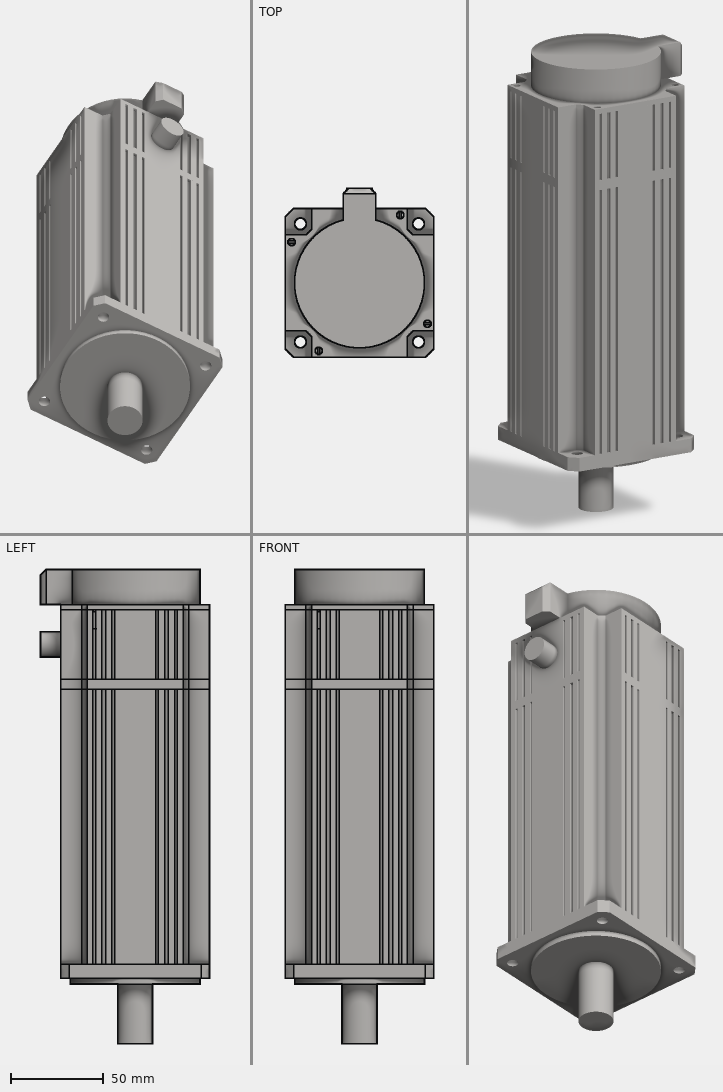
import cadquery as cq
import math

pilot_bottom = 32.3
flange_bottom = 35.3
flange_top = 43.0
stator_top = 191.5
spacer_top = 196.9
housing_top = 234.2
lid_top = 237.0
cover_top = 256.0

section_width = 80.5
notch_depth = 14.3
notch_bevel = 3.0

groove_spans = [(11.0, 12.5), (16.0, 18.0), (21.2, 22.8)]
groove_depth = 1.5

flange_width = section_width
flange_chamfer = 4.5
bolt_circle_diameter = 90.0
bolt_hole_diameter = 6.1
pilot_diameter = 70.1

shaft_diameter = 19.0

cap_diameter = pilot_diameter
outlet_width = 17.7
outlet_reach = 51.2
outlet_chamfer = 3.0

stub_diameter = 13.8
stub_z = (spacer_top + housing_top) / 2

screw_diameter = 3.8
screw_length = 10.2
screw_side_offset = 36.5
screw_cross_offset = 22.0
slot_width = 1.3
slot_depth = 1.0
screw_top = housing_top
screw_bottom = screw_top - screw_length

quarter_turns = [0, 90, 180, 270]


def notched_block(bottom, top):
    """Square block whose four corners are cut by bevelled square notches."""
    half = section_width / 2
    inner = half - notch_depth
    height = top - bottom
    block = cq.Workplane("XY", origin=(0, 0, bottom)).rect(section_width, section_width).extrude(height)
    notch = (
        cq.Workplane("XY", origin=(0, 0, bottom))
        .moveTo(half, inner)
        .lineTo(inner + notch_bevel, inner)
        .lineTo(inner, inner + notch_bevel)
        .lineTo(inner, half)
        .lineTo(half, half)
        .close()
        .extrude(height)
    )
    for angle in quarter_turns:
        block = block.cut(notch.rotate((0, 0, 0), (0, 0, 1), angle))
    return block


def cut_grooves(block, bottom, top):
    """Cut the full-height cooling grooves into all four sides."""
    height = top - bottom
    floor = section_width / 2 - groove_depth
    for near, far in groove_spans:
        for start in (near, -far):
            groove = cq.Workplane("XY").box(far - near, groove_depth, height, centered=False)
            groove = groove.translate((start, floor, bottom))
            for angle in quarter_turns:
                block = block.cut(groove.rotate((0, 0, 0), (0, 0, 1), angle))
    return block


def cylinder(diameter, bottom, top):
    return cq.Workplane("XY", origin=(0, 0, bottom)).circle(diameter / 2).extrude(top - bottom)


def at_screw_places(body):
    """Copies of a body centred on the Z axis, one at each lid screw."""
    first = body.translate((-screw_side_offset, screw_cross_offset, 0))
    return [first.rotate((0, 0, 0), (0, 0, 1), angle) for angle in quarter_turns]


def make_shaft():
    return cylinder(shaft_diameter, 0, flange_top)


def make_flange():
    plate = (
        cq.Workplane("XY", origin=(0, 0, flange_bottom))
        .rect(flange_width, flange_width)
        .extrude(flange_top - flange_bottom)
        .edges("|Z")
        .chamfer(flange_chamfer)
    )
    bolt_pitch = bolt_circle_diameter / math.sqrt(2)
    bolt_holes = (
        cq.Workplane("XY", origin=(0, 0, flange_bottom))
        .rect(bolt_pitch, bolt_pitch, forConstruction=True)
        .vertices()
        .circle(bolt_hole_diameter / 2)
        .extrude(flange_top - flange_bottom)
    )
    pilot = cylinder(pilot_diameter, pilot_bottom, flange_bottom)
    return plate.cut(bolt_holes).union(pilot).cut(make_shaft())


def make_stator():
    return cut_grooves(notched_block(flange_top, stator_top), flange_top, stator_top)


def make_spacer():
    return notched_block(stator_top, spacer_top)


def make_housing():
    block = cut_grooves(notched_block(spacer_top, housing_top), spacer_top, housing_top)
    stub = (
        cq.Workplane("XZ", origin=(0, outlet_reach, stub_z))
        .circle(stub_diameter / 2)
        .extrude(outlet_reach - section_width / 2)
    )
    housing = block.union(stub)
    for screw_hole in at_screw_places(cylinder(screw_diameter, screw_bottom, screw_top)):
        housing = housing.cut(screw_hole)
    return housing


def make_rear_cover():
    lid = notched_block(housing_top, lid_top)
    for screw_hole in at_screw_places(cylinder(screw_diameter, housing_top, lid_top)):
        lid = lid.cut(screw_hole)
    cap = cylinder(cap_diameter, lid_top, cover_top)
    outlet = (
        cq.Workplane("XY")
        .box(outlet_width, outlet_reach, cover_top - lid_top, centered=(True, False, False))
        .translate((0, 0, lid_top))
        .faces(">Y")
        .edges("|Z or >Z")
        .chamfer(outlet_chamfer)
    )
    return lid.union(cap).union(outlet)


def make_screws():
    """Four screws whose driver slots run square to the nearest side."""
    slot_bottom = screw_top - slot_depth
    slot = cq.Workplane("XY", origin=(0, 0, slot_bottom)).rect(screw_diameter, slot_width).extrude(slot_depth)
    screw = cylinder(screw_diameter, screw_bottom, screw_top).cut(slot)
    return at_screw_places(screw)


shaft = make_shaft()
flange = make_flange()
stator = make_stator()
spacer = make_spacer()
housing = make_housing()
rear_cover = make_rear_cover()
screws = make_screws()

result = cq.Compound.makeCompound(
    [
        shaft.val(),
        flange.val(),
        stator.val(),
        spacer.val(),
        housing.val(),
        rear_cover.val(),
        *[screw.val() for screw in screws],
    ]
)